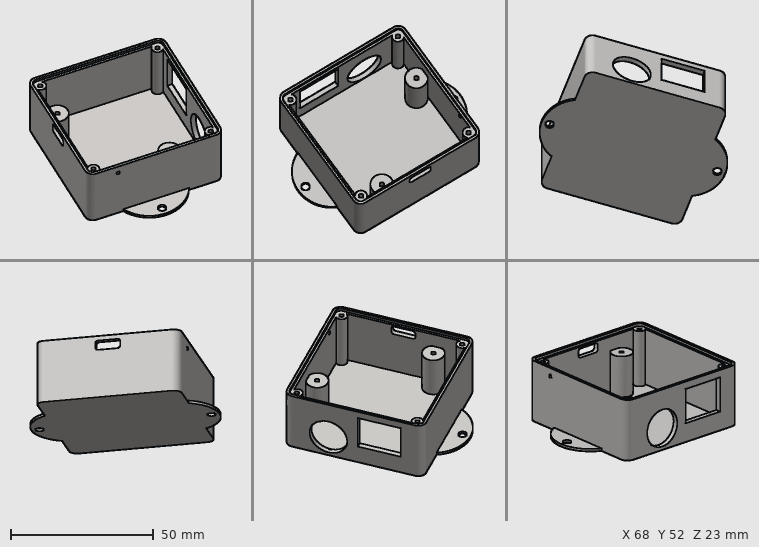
import cadquery as cq

length = 67.95
side = 52.0
height = 23.0
wall = 2.0
floor = 1.0
corner_radius = 3.0
half_side = side / 2

step_width = 1.0
step_depth = 1.0
ledge_z = height - step_depth

ear_radius = 14.0
ear_thickness = floor
ear_x = length / 2 - ear_radius
ear_hole_diameter = 3.0
ear_hole_x = length / 2 - 3.0

post_diameter = 4.2
post_inset = 3.45
post_offset = half_side - post_inset
standoff_diameter = 8.0
standoff_top_z = 16.6
standoff_places = [(20.45, 7.6), (-12.5, -20.5)]
screw_hole_diameter = 1.6

slot_width = 9.0
slot_height = 3.45
slot_radius = 1.0
slot_z = height - 3.45

window_width = 16.0
window_height = 13.0
window_x = -9.5
window_z = 13.65
round_window_diameter = 14.0
round_window_x = 9.45
round_window_z = 8.35

side_hole_diameter = 1.2
side_hole_y = -14.6
side_hole_z = 19.85


def rounded_block(width, bottom_z, top_z, radius):
    """Square block centred on the Z axis with rounded vertical edges."""
    block = cq.Workplane("XY").workplane(offset=bottom_z).rect(width, width).extrude(top_z - bottom_z)
    return block.edges("|Z").fillet(radius)


def cylinders(places, diameter, bottom_z, top_z):
    """Vertical cylinders at the given XY places."""
    plane = cq.Workplane("XY").workplane(offset=bottom_z)
    return plane.pushPoints(places).circle(diameter / 2).extrude(top_z - bottom_z)


def y_wall_plane(inner_y, x, z):
    """Sketch plane on the inner face of a Y wall; its normal points to -Y."""
    return cq.Workplane("XZ", origin=(x, inner_y, z))


outer = rounded_block(side, 0, height, corner_radius)
cavity = rounded_block(side - 2 * wall, floor, height, corner_radius - wall)
rim_step = rounded_block(side - 2 * step_width, ledge_z, height, corner_radius - step_width)
body = outer.cut(cavity).cut(rim_step)

signs = (-1, 1)
ear_places = [(sx * ear_x, 0) for sx in signs]
post_places = [(sx * post_offset, sy * post_offset) for sx in signs for sy in signs]
body = body.union(cylinders(ear_places, 2 * ear_radius, 0, ear_thickness))
body = body.union(cylinders(post_places, post_diameter, 0, ledge_z))
body = body.union(cylinders(standoff_places, standoff_diameter, 0, standoff_top_z))

ear_hole_places = [(sx * ear_hole_x, 0) for sx in signs]
body = body.cut(cylinders(ear_hole_places, ear_hole_diameter, 0, ear_thickness))
body = body.cut(cylinders(post_places, screw_hole_diameter, floor, ledge_z))
body = body.cut(cylinders(standoff_places, screw_hole_diameter, floor, standoff_top_z))

inner_face = half_side - wall
slot = y_wall_plane(-inner_face, 0, slot_z).rect(slot_width, slot_height).extrude(wall)
slot = slot.edges("|Y").fillet(slot_radius)
window = y_wall_plane(inner_face, window_x, window_z).rect(window_width, window_height).extrude(-wall)
round_window = (
    y_wall_plane(inner_face, round_window_x, round_window_z)
    .circle(round_window_diameter / 2)
    .extrude(-wall)
)
side_hole = (
    cq.Workplane("YZ", origin=(inner_face, side_hole_y, side_hole_z))
    .circle(side_hole_diameter / 2)
    .extrude(wall)
)

result = body.cut(slot).cut(window).cut(round_window).cut(side_hole)